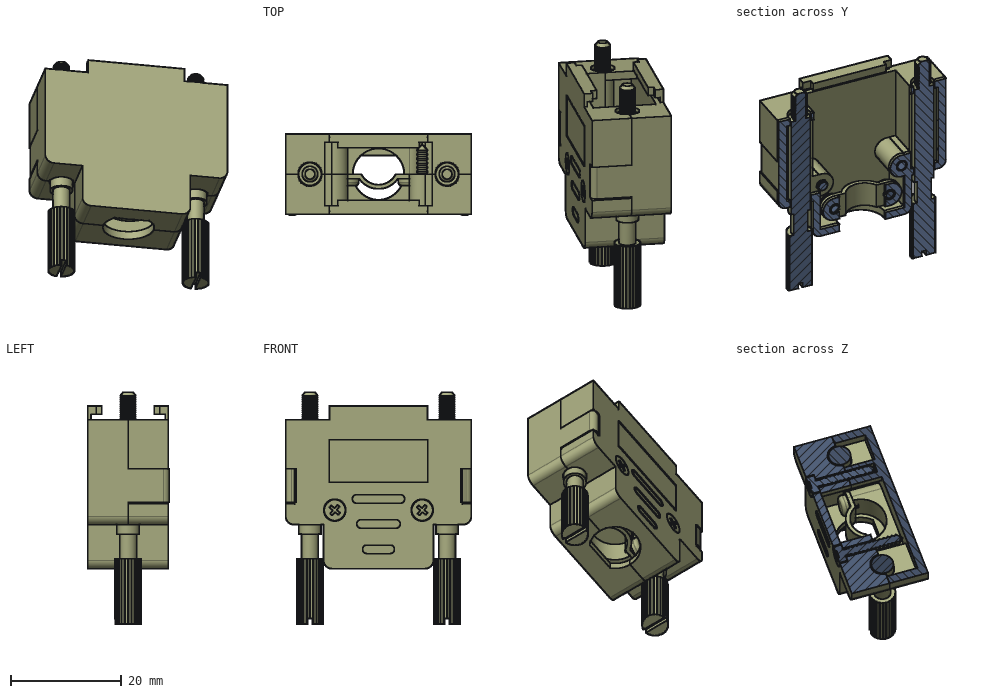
import cadquery as cq
import math


hood_half_width = 16.89
hood_half_depth = 7.33
shoulder_height = 19.1
neck_half_width = 10.0
neck_bottom = -27.1
corner_radius = 1.55

wall = 1.55
cavity_half_depth = hood_half_depth - wall
mouth_half_width = 9.75
neck_cavity_half_width = 8.5
flange_floor = 1.5
ledge_z = -shoulder_height + flange_floor
neck_floor_z = neck_bottom + wall
side_pocket_lip = 1.5
side_pocket_outer = 15.2
cable_radius = 4.65
cable_flat_y = 3.37

rail_half_width = 8.92
rail_height = 2.5
rail_lip_thickness = 1.55
rail_web_thickness = 0.6
rail_lip_inner_y = 4.75
rail_lip_half_width = 7.37

label_width = 2 * rail_half_width
label_top = -3.65
label_height = 7.75
label_depth = 0.15
grip_height = 1.55
grip_depth = 0.15
grips = [(-14.42, 9.5), (-18.95, 7.9), (-23.56, 5.8)]

latch_top = -8.97
latch_bottom = -15.06
latch_slot_bottom = -15.33
latch_thickness = 1.69
latch_proud = 0.15
latch_radius = 1.05
latch_flat = 0.33

case_screw_x = 7.94
case_screw_z = -16.45
case_boss_radius = 2.35
case_head_radius = 1.9
case_head_bore_radius = 2.0
case_head_height = 1.5
case_screw_tip_y = 5.37

clamp_screw_x = 5.55
clamp_z = -22.0
clamp_end_radius = 2.4
strap_thickness = 0.8
strap_inner_radius = 3.5
strap_center_y = 1.6
clamp_head_radius = 1.98
clamp_head_height = 1.35
clamp_head_dome = 0.7
clamp_screw_tip_y = 4.4

tapping_crest_radius = 1.0
tapping_root_radius = 0.78
tapping_pitch = 0.79

thumb_x = 12.45
thumb_bore_radius = 2.17
thumb_tip_z = 5.0
thumb_length = 42.14
collar_radius = 2.05
collar_top = -0.7
collar_bottom = -20.8
shank_radius = 1.55
knob_radius = 2.4
knob_top = -25.25
knob_bottom = thumb_tip_z - thumb_length
knob_groove_count = 24
knob_groove_radius = 0.09
driver_slot_width = 0.8
driver_slot_depth = 1.0
thumb_crest_radius = 1.42
thumb_root_radius = 1.2
thumb_pitch = 0.383
thumb_thread_top = 4.35
thumb_tip_radius = 0.9

cross_length = 2.1
cross_width = 0.5
cross_depth = 0.3
cross_angle = 50

SIDES = (-1, 1)


def block(x0, x1, y0, y1, z0, z1):
    """Box between two opposite corners."""
    return cq.Workplane("XY").box(x1 - x0, y1 - y0, z1 - z0, centered=False).translate((x0, y0, z0))


def along_y(y_start):
    """Sketch plane with local x = X and local y = Z, extruding toward +Y from y_start."""
    return cq.Workplane(cq.Plane(origin=(0, y_start, 0), xDir=(1, 0, 0), normal=(0, -1, 0)))


def rod(x, z, radius, y0, y1):
    """Cylinder along Y."""
    return along_y(y0).center(x, z).circle(radius).extrude(-(y1 - y0))


def half_hood(y0, y1):
    """Solid T-shaped hood between two depths, with its bottom corners rounded."""
    flange = block(-hood_half_width, hood_half_width, y0, y1, -shoulder_height, 0)
    neck = block(-neck_half_width, neck_half_width, y0, y1, neck_bottom, -wall)
    flange = flange.edges("|Y and <Z").fillet(corner_radius)
    neck = neck.edges("|Y and <Z").fillet(corner_radius)
    return flange.union(neck)


def rail(side):
    """L-shaped rail on the outer wall at Y side; its lip overhangs the cavity."""
    lip_bottom = rail_height - rail_lip_thickness
    profile = [
        (hood_half_depth, -wall),
        (hood_half_depth, rail_height),
        (rail_lip_inner_y, rail_height),
        (rail_lip_inner_y, lip_bottom),
        (hood_half_depth - rail_web_thickness, lip_bottom),
        (hood_half_depth - rail_web_thickness, -wall),
    ]
    points = [(side * y, z) for y, z in profile]
    body = cq.Workplane("YZ").polyline(points).close().extrude(rail_half_width, both=True)
    for end in SIDES:
        x0, x1 = sorted((end * rail_lip_half_width, end * rail_half_width))
        y0, y1 = sorted((0, side * cavity_half_depth))
        body = body.cut(block(x0, x1, y0, y1, 0, rail_height))
    return body


def hollow(shell, y0, y1):
    """Cut the flange cavity, the neck cavity and the thumbscrew bores from a shell."""
    shell = shell.cut(block(-mouth_half_width, mouth_half_width, y0, y1, ledge_z, 0))
    shell = shell.cut(block(-neck_cavity_half_width, neck_cavity_half_width, y0, y1, neck_floor_z, 0))
    for side in SIDES:
        bore = cq.Workplane("XY").center(side * thumb_x, 0).circle(thumb_bore_radius)
        shell = shell.cut(bore.extrude(-shoulder_height))
    return shell


def case_boss(side, y0, y1):
    """Case screw boss along Y, blended into a support block above the flange floor."""
    inner = side * neck_cavity_half_width
    outer = side * mouth_half_width
    top = case_screw_z + case_boss_radius
    support = block(min(inner, outer), max(inner, outer), y0, y1, ledge_z, top)
    cavity_width = block(-neck_cavity_half_width, neck_cavity_half_width, y0, y1, neck_floor_z, 0)
    boss = rod(side * case_screw_x, case_screw_z, case_boss_radius, y0, y1)
    return boss.intersect(cavity_width).union(support)


def stadium(y0, y1):
    """Bar along X with rounded ends, centred on the clamp screws."""
    outline = along_y(y0).center(0, clamp_z)
    return outline.slot2D(2 * (clamp_screw_x + clamp_end_radius), 2 * clamp_end_radius).extrude(-(y1 - y0))


def upright(radius, z0, z1, y=0):
    """Cylinder along Z on the plane X = 0."""
    return cq.Workplane("XY").workplane(offset=z0).center(0, y).circle(radius).extrude(z1 - z0)


def latch(side):
    """Arm from the back shell that wraps round the front corner and hooks over the front face."""
    outer = hood_half_width
    front = -hood_half_depth - latch_proud
    crown = outer - latch_radius
    hook = crown - latch_flat
    hook_angle = math.acos(1 - latch_proud / latch_radius)
    hook_end = hook - latch_radius * math.sin(hook_angle)
    diagonal = latch_radius * math.sqrt(0.5)
    half_angle = hook_angle / 2
    profile = (
        cq.Workplane("XY")
        .workplane(offset=latch_bottom)
        .moveTo(outer, 0)
        .lineTo(outer, front + latch_radius)
        .threePointArc((crown + diagonal, front + latch_radius - diagonal), (crown, front))
        .lineTo(hook, front)
        .threePointArc(
            (hook - latch_radius * math.sin(half_angle), front + latch_radius * (1 - math.cos(half_angle))),
            (hook_end, -hood_half_depth),
        )
        .lineTo(outer - latch_thickness, -hood_half_depth)
        .lineTo(outer - latch_thickness, 0)
        .close()
    )
    arm = profile.extrude(latch_top - latch_bottom)
    return arm if side > 0 else arm.mirror("YZ")


def make_front_shell():
    shell = hollow(half_hood(-hood_half_depth, 0), -cavity_half_depth, 0)
    shell = shell.union(rail(-1))
    shell = shell.cut(upright(cable_radius, neck_bottom, neck_floor_z))

    face_y = -hood_half_depth
    shell = shell.cut(block(-label_width / 2, label_width / 2, face_y, face_y + label_depth,
                            label_top - label_height, label_top))
    for z, length in grips:
        shell = shell.cut(along_y(face_y).center(0, z).slot2D(length, grip_height).extrude(-grip_depth))

    for side in SIDES:
        x = side * case_screw_x
        shell = shell.union(case_boss(side, -cavity_half_depth, 0))
        shell = shell.cut(rod(x, case_screw_z, tapping_crest_radius, face_y, 0))
        shell = shell.cut(rod(x, case_screw_z, case_head_bore_radius, face_y, face_y + case_head_height))
        x0, x1 = sorted((side * (hood_half_width - latch_thickness), side * hood_half_width))
        shell = shell.cut(block(x0, x1, face_y, 0, latch_slot_bottom, latch_top))
    return shell


def make_back_shell():
    shell = hollow(half_hood(0, hood_half_depth), 0, cavity_half_depth)
    shell = shell.union(rail(1))
    outlet = upright(cable_radius, neck_bottom, neck_floor_z)
    shell = shell.cut(outlet.intersect(
        block(-cable_radius, cable_radius, 0, cable_flat_y, neck_bottom, neck_floor_z)))

    for side in SIDES:
        x0, x1 = sorted((side * mouth_half_width, side * side_pocket_outer))
        shell = shell.cut(block(x0, x1, 0, cavity_half_depth, ledge_z, -side_pocket_lip))
        shell = shell.union(latch(side))

    shell = shell.union(case_boss(-1, 0, cavity_half_depth))
    shell = shell.cut(rod(-case_screw_x, case_screw_z, tapping_crest_radius, 0, case_screw_tip_y))

    seat = stadium(0, cavity_half_depth)
    seat = seat.cut(upright(cable_radius, clamp_z - clamp_end_radius, clamp_z + clamp_end_radius))
    for side in SIDES:
        seat = seat.cut(rod(side * clamp_screw_x, clamp_z, tapping_crest_radius, 0, clamp_screw_tip_y))
    return shell.union(seat)


def make_strap():
    """Flat strap with a half-round saddle over the cable and two screw holes."""
    z0 = clamp_z - clamp_end_radius
    z1 = clamp_z + clamp_end_radius
    outer_radius = strap_inner_radius + strap_thickness
    saddle = upright(outer_radius, z0, z1, strap_center_y)
    saddle = saddle.intersect(block(-outer_radius, outer_radius, -outer_radius, 0, z0, z1))
    strap = stadium(-strap_thickness, 0).union(saddle)
    strap = strap.cut(upright(strap_inner_radius, z0, z1, strap_center_y))
    for side in SIDES:
        strap = strap.cut(rod(side * clamp_screw_x, clamp_z, tapping_crest_radius, -strap_thickness, 0))
    return strap


def thread_profile(start, end, crest, root, pitch):
    """(radius, height) points of V rings going from a crest at start down to end."""
    count = int((start - end) / pitch)
    points = []
    for ring in range(count):
        height = start - ring * pitch
        points.append((crest, height))
        points.append((root, height - pitch / 2))
    points.append((root, end))
    return points


def tapping_shank(under_head_y, tip_y):
    """Pointed self-tapping shank about the Z axis, its height being the later Y."""
    profile = [(0, tip_y)]
    profile += thread_profile(tip_y - tapping_crest_radius, under_head_y,
                              tapping_crest_radius, tapping_root_radius, tapping_pitch)
    profile.append((0, under_head_y))
    return cq.Workplane("XZ").polyline(profile).close().revolve(360, (0, 0, 0), (0, 1, 0))


def lay_along_y(screw, x, z):
    """Turn a screw standing on +Z so that it points along +Y, and move it to its axis."""
    return screw.rotate((0, 0, 0), (1, 0, 0), -90).translate((x, 0, z))


def make_case_screw(side):
    x = side * case_screw_x
    face_y = -hood_half_depth
    shank = tapping_shank(face_y + case_head_height, case_screw_tip_y)
    screw = lay_along_y(shank, x, case_screw_z)
    screw = screw.union(rod(x, case_screw_z, case_head_radius, face_y, face_y + case_head_height))
    for turn in (0, 90):
        arm = along_y(face_y).center(x, case_screw_z).transformed(rotate=(0, 0, cross_angle + turn))
        screw = screw.cut(arm.rect(cross_length, cross_width).extrude(-cross_depth))
    return screw


def make_clamp_screw(side):
    x = side * clamp_screw_x
    head_y = -strap_thickness - clamp_head_height
    head = rod(x, clamp_z, clamp_head_radius, head_y, -strap_thickness)
    head = head.faces("<Y").edges().fillet(clamp_head_dome)
    shank = tapping_shank(-strap_thickness, clamp_screw_tip_y)
    return lay_along_y(shank, x, clamp_z).union(head)


def make_thumbscrew(side):
    profile = [(0, thumb_tip_z), (thumb_tip_radius, thumb_tip_z)]
    profile += thread_profile(thumb_thread_top, collar_top, thumb_crest_radius, thumb_root_radius, thumb_pitch)
    profile += [
        (collar_radius, collar_top),
        (collar_radius, collar_bottom),
        (shank_radius, collar_bottom),
        (shank_radius, knob_top),
        (knob_radius, knob_top),
        (knob_radius, knob_bottom),
        (0, knob_bottom),
    ]
    screw = cq.Workplane("XZ").polyline(profile).close().revolve(360, (0, 0, 0), (0, 1, 0))
    grooves = (
        cq.Workplane("XY")
        .workplane(offset=knob_bottom)
        .polarArray(knob_radius, 0, 360, knob_groove_count)
        .circle(knob_groove_radius)
        .extrude(knob_top - knob_bottom)
    )
    screw = screw.cut(grooves)
    screw = screw.cut(block(-driver_slot_width / 2, driver_slot_width / 2, -knob_radius, knob_radius,
                            knob_bottom, knob_bottom + driver_slot_depth))
    return screw.translate((side * thumb_x, 0, 0))


front_shell = make_front_shell()
back_shell = make_back_shell()
strap = make_strap()
case_screws = [make_case_screw(side) for side in SIDES]
clamp_screws = [make_clamp_screw(side) for side in SIDES]
thumbscrews = [make_thumbscrew(side) for side in SIDES]

bodies = [front_shell, back_shell, strap] + case_screws + clamp_screws + thumbscrews
result = cq.Compound.makeCompound([body.solids().val() for body in bodies])